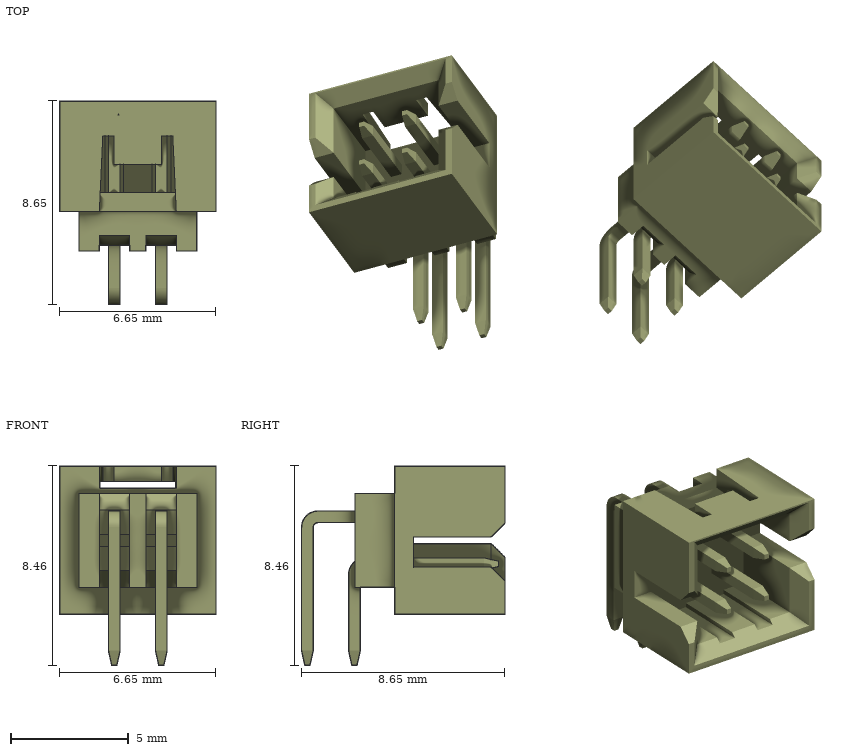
import cadquery as cq


shroud_width = 6.65
shroud_depth = 4.7
shroud_height = 6.3
back_wall = 0.81
side_wall = 0.88
top_wall = 0.66
bottom_wall = side_wall
lead_in = 0.59

key_slot_far = 1.14
key_slot_near = 0.14

notch_half_width = 1.635
notch_end_half_width = 1.49
notch_length = 3.22
notch_back_depth = 0.925
tongue_half_width = 1.0
tongue_end = 2.01

floor_groove_width = 0.805
floor_groove_depth = 0.2

plinth_width = 5.02
plinth_depth = 1.69
plinth_height = 3.99
recess_inner = 0.35
recess_outer = 1.635
recess_depth = 0.25
recess_edge_depth = 0.67
recess_slope_height = 0.71
groove_height = 0.51
groove_depth = 0.21

pitch = 2.0
pin_size = 0.5
bend_inner_radius = 0.2
pin_tip_size = 0.225
pin_taper_length = 0.61
pin_drop_below_shroud = 2.16
pin_tip_inset = 0.28
pin_reach_behind = 3.95

pin_bottom = -shroud_height / 2 - pin_drop_below_shroud
pin_front = shroud_depth - pin_tip_inset
outer_leg_y = -pin_reach_behind + pin_size / 2
inner_leg_y = outer_leg_y + pitch
column_positions = (-pitch / 2, pitch / 2)
cavity_width = shroud_width - 2 * side_wall
cavity_top = shroud_height / 2 - top_wall
cavity_bottom = bottom_wall - shroud_height / 2
cavity_height = cavity_top - cavity_bottom
cavity_middle = (cavity_top + cavity_bottom) / 2


def box(x_min, x_max, y_min, y_max, z_min, z_max):
    size = (x_max - x_min, y_max - y_min, z_max - z_min)
    return cq.Workplane("XY").box(*size, centered=False).translate((x_min, y_min, z_min))


def extrude_along_x(profile, x_min, x_max):
    """Extrude a closed (y, z) outline between two X positions."""
    plane = cq.Workplane("YZ", origin=(x_min, 0, 0))
    return plane.polyline(profile).close().extrude(x_max - x_min)


def make_cavity():
    """Pocket open toward +Y, with a bevelled lead-in around the mouth."""
    half_width = cavity_width / 2
    cavity = box(-half_width, half_width, back_wall, shroud_depth, cavity_bottom, cavity_top)
    mouth = (
        cq.Workplane("XZ", origin=(0, shroud_depth, cavity_middle))
        .rect(cavity_width + 2 * lead_in, cavity_height + 2 * lead_in)
        .workplane(offset=lead_in)
        .rect(cavity_width, cavity_height)
        .loft(ruled=True)
    )
    return cavity.union(mouth)


def make_key_slot():
    """Slot through the -X side wall, flared at the mouth."""
    flare_start = shroud_depth - lead_in
    profile = [
        (back_wall, -key_slot_near),
        (flare_start, -key_slot_near),
        (shroud_depth, -key_slot_near - lead_in),
        (shroud_depth, key_slot_far + lead_in),
        (flare_start, key_slot_far),
        (back_wall, key_slot_far),
    ]
    return extrude_along_x(profile, -shroud_width / 2, -cavity_width / 2 + lead_in)


def make_latch_notch():
    """Notch through the back wall and top wall that leaves a tongue between two tapered arms."""
    outline = [
        (-notch_half_width, 0),
        (notch_half_width, 0),
        (notch_end_half_width, notch_length),
        (tongue_half_width, notch_length),
        (tongue_half_width, tongue_end),
        (-tongue_half_width, tongue_end),
        (-tongue_half_width, notch_length),
        (-notch_end_half_width, notch_length),
    ]
    bottom = shroud_height / 2 - notch_back_depth
    plane = cq.Workplane("XY", origin=(0, 0, bottom))
    return plane.polyline(outline).close().extrude(notch_back_depth)


def make_floor_groove(x):
    """Groove along the whole cavity floor under the pin column at x."""
    half_width = floor_groove_width / 2
    bottom = cavity_bottom - floor_groove_depth
    return box(x - half_width, x + half_width, back_wall, shroud_depth, bottom, cavity_bottom)


def make_recess(x_min, x_max):
    """Wedge-ended recess with a shallow groove across its middle."""
    back = -plinth_depth
    floor = back + recess_depth
    edge = back + recess_edge_depth
    top = plinth_height / 2
    slope_end = top - recess_slope_height
    profile = [
        (back, top),
        (edge, top),
        (floor, slope_end),
        (floor, -slope_end),
        (edge, -top),
        (back, -top),
    ]
    groove = box(x_min, x_max, back, floor + groove_depth, -groove_height / 2, groove_height / 2)
    return extrude_along_x(profile, x_min, x_max).union(groove)


def make_pin_tip(base):
    """Pyramid point running from the base plane against its normal."""
    return (
        base.rect(pin_size, pin_size)
        .workplane(offset=-pin_taper_length)
        .rect(pin_tip_size, pin_tip_size)
        .loft(ruled=True)
    )


def make_pin(x, y, z):
    """Bent pin whose vertical leg is centred on y and whose horizontal leg is centred on z."""
    bend_radius = bend_inner_radius + pin_size / 2
    leg_end = pin_bottom + pin_taper_length
    arm_end = pin_front - pin_taper_length
    path = (
        cq.Workplane("YZ", origin=(x, 0, 0))
        .moveTo(y, leg_end)
        .lineTo(y, z - bend_radius)
        .radiusArc((y + bend_radius, z), bend_radius)
        .lineTo(arm_end, z)
    )
    shank = cq.Workplane("XY", origin=(x, y, leg_end)).rect(pin_size, pin_size).sweep(path)
    leg_tip = make_pin_tip(cq.Workplane("XY", origin=(x, y, leg_end)))
    arm_tip = make_pin_tip(cq.Workplane("XZ", origin=(x, arm_end, z)))
    return shank.union(leg_tip).union(arm_tip)


result = box(
    -shroud_width / 2, shroud_width / 2, 0, shroud_depth, -shroud_height / 2, shroud_height / 2
)
result = result.cut(make_cavity())
result = result.cut(make_key_slot())
result = result.cut(make_key_slot().rotate((0, 0, 0), (0, 1, 0), 180))
result = result.cut(make_latch_notch())
for x in column_positions:
    result = result.cut(make_floor_groove(x))

plinth = box(
    -plinth_width / 2, plinth_width / 2, -plinth_depth, 0, -plinth_height / 2, plinth_height / 2
)
plinth = plinth.cut(make_recess(-recess_outer, -recess_inner))
plinth = plinth.cut(make_recess(recess_inner, recess_outer))
result = result.union(plinth)

for x in column_positions:
    result = result.union(make_pin(x, outer_leg_y, pitch / 2))
    result = result.union(make_pin(x, inner_leg_y, -pitch / 2))